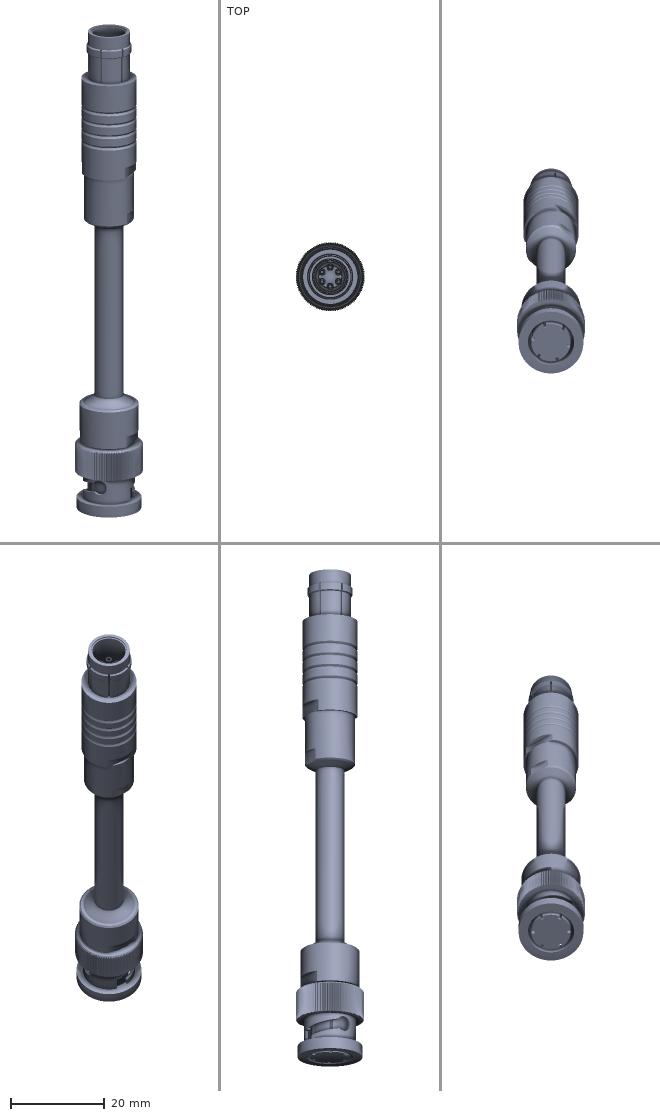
import cadquery as cq
import math

total_length = 107.7

flange_d = 13.9
flange_top = 2.5
shell_d = 11.2
shell_bore_d = 9.9
core_d = 8.4
shell_bore_top = 9.7
core_slit_width = 0.6
core_slit_depth = 0.6
knurl_d = 14.5
knurl_bottom = 8.3
knurl_top = 14.9
knurl_chamfer = 0.4
knurl_teeth = 120
knurl_depth = 0.3
neck_d = 11.1
barrel_d = 12.7
barrel_bottom = 15.3
barrel_top = 23.9
barrel_chamfer = 0.3
barrel_flats_top = 17.7
barrel_flats_width = 10.8
cone_d = 10.8
cone_top = 25.5

latch_d = 3.2
latch_z = 6.1
entry_width = 2.5
ramp_width = 2.2
entry_top = 5.4
ramp_entry_z = 4.6
ramp_latch_z = 6.2

cable_d = 6.2

collar_d = 10.8
collar_bottom = 65.4
collar_cone_bottom = 64.0
collar_chamfer = 0.3
collar_flats_top = 67.7
plug_flats_width = 9.9
nut_bottom = 75.9
nut_top = 78.4
body_d = 11.8
body_top = 97.2
groove_bottom_d = 11.2
groove_width = 0.9
groove_count = 4
groove_pitch = 2.6
lowest_groove_z = 83.1
tube_d = 8.9
latch_ring_d = 9.6
latch_ring_bottom = 103.1
latch_ring_top = 104.9
latch_ring_chamfer = 0.2

slit_count = 6
tube_slit_width = 0.4
tube_slit_depth = 0.4

socket_d = 7.1
socket_mouth_d = 7.6
socket_mouth_depth = 0.3
socket_floor = 99.1
key_width = 1.2
key_inner_y = 3.1
key_top = 105.3
insert_base_d = 6.2
insert_base_top = 100.1
insert_d = 5.0
insert_top = 100.7
contact_d = 1.3
contact_hole_d = 0.76
contact_count = 6
contact_circle_d = 4.1
contact_top = 102.3
contact_hole_depth = 2.2


def cylinder(diameter, bottom, top):
    return cq.Workplane("XY").workplane(offset=bottom).circle(diameter / 2).extrude(top - bottom)


def ring(outer_d, inner_d, bottom, top):
    return cylinder(outer_d, bottom, top).cut(cylinder(inner_d, bottom, top))


def side_flats(width, bottom, top):
    """Material outside two flats that face -X and +X."""
    size = 2 * knurl_d
    stock = cq.Workplane("XY").box(size, size, top - bottom, centered=(True, True, False))
    middle = cq.Workplane("XY").box(width, size, top - bottom, centered=(True, True, False))
    return stock.cut(middle).translate((0, 0, bottom))


def turned_body():
    """Revolved outline of everything except the knurled ring."""
    outline = [
        (0, 0),
        (flange_d / 2, 0),
        (flange_d / 2, flange_top),
        (shell_d / 2, flange_top),
        (shell_d / 2, knurl_top - knurl_chamfer),
        (neck_d / 2, knurl_top - knurl_chamfer),
        (neck_d / 2, barrel_bottom),
        (barrel_d / 2, barrel_bottom),
        (barrel_d / 2, barrel_top - barrel_chamfer),
        (barrel_d / 2 - barrel_chamfer, barrel_top),
        (cone_d / 2, barrel_top),
        (cable_d / 2, cone_top),
        (cable_d / 2, collar_cone_bottom),
        (collar_d / 2 - collar_chamfer, collar_bottom - collar_chamfer),
        (collar_d / 2, collar_bottom),
        (collar_d / 2, nut_bottom),
        (body_d / 2, nut_bottom),
        (body_d / 2, body_top),
        (tube_d / 2, body_top),
        (tube_d / 2, latch_ring_bottom - latch_ring_chamfer),
        (latch_ring_d / 2, latch_ring_bottom),
        (latch_ring_d / 2, latch_ring_top - latch_ring_chamfer),
        (tube_d / 2, latch_ring_top),
        (tube_d / 2, total_length),
        (0, total_length),
    ]
    return cq.Workplane("XZ").polyline(outline).close().revolve(360, (0, 0), (0, 1))


def knurled_ring():
    """Straight V-toothed grip, chamfered at its upper edge."""
    points = []
    for i in range(2 * knurl_teeth):
        radius = knurl_d / 2 - (i % 2) * knurl_depth
        angle = math.pi * i / knurl_teeth
        points.append((radius * math.cos(angle), radius * math.sin(angle)))
    grip = cq.Workplane("XY").workplane(offset=knurl_bottom).polyline(points).close()
    grip = grip.extrude(knurl_top - knurl_bottom)
    envelope = cylinder(knurl_d, knurl_bottom, knurl_top).faces(">Z").chamfer(knurl_chamfer)
    return grip.intersect(envelope)


def body_groove(z):
    """V groove around the push-pull body."""
    profile = [
        (groove_bottom_d / 2, z),
        (body_d / 2, z - groove_width / 2),
        (body_d / 2, z + groove_width / 2),
    ]
    return cq.Workplane("XZ").polyline(profile).close().revolve(360, (0, 0), (0, 1))


def bayonet_slot():
    """Slot entering at +X and climbing a quarter turn to the latch hole at +Y."""
    inner_r = core_d / 2
    outer_r = flange_d / 2
    depth = outer_r - inner_r
    middle_r = (inner_r + outer_r) / 2

    entry = cq.Workplane("XY").box(depth, entry_width, entry_top - flange_top, centered=(True, True, False))
    entry = entry.translate((middle_r, 0, flange_top))

    rise = ramp_latch_z - ramp_entry_z
    helix = cq.Workplane(cq.Wire.makeHelix(4 * rise, rise, middle_r))
    ramp = cq.Workplane("XZ").center(middle_r, 0).rect(depth, ramp_width).sweep(helix, isFrenet=True)
    ramp = ramp.translate((0, 0, ramp_entry_z))

    latch_hole = cq.Workplane("XZ").center(0, latch_z).circle(latch_d / 2).extrude(-depth)
    latch_hole = latch_hole.translate((0, inner_r, 0))
    return entry.union(ramp).union(latch_hole)


def slit(outer_d, width, depth, bottom, top, angle):
    """Slit along Z, cut inward from a round surface at the given angle from +X."""
    box = cq.Workplane("XY").box(depth, width, top - bottom, centered=(False, True, False))
    box = box.translate((outer_d / 2 - depth, 0, bottom))
    return box.rotate((0, 0, 0), (0, 0, 1), angle)


def socket_key():
    """Key rib on the +Y side of the socket wall."""
    wall_middle = (socket_d + tube_d) / 4
    rib = cq.Workplane("XY").box(key_width, wall_middle - key_inner_y, key_top - socket_floor,
                                 centered=(True, False, False))
    return rib.translate((0, key_inner_y, socket_floor))


def contact(angle):
    """Round contact with a blind hole in its end."""
    x = contact_circle_d / 2 * math.cos(math.radians(angle))
    y = contact_circle_d / 2 * math.sin(math.radians(angle))
    pin = cylinder(contact_d, socket_floor, contact_top)
    pin = pin.cut(cylinder(contact_hole_d, contact_top - contact_hole_depth, contact_top))
    return pin.translate((x, y, 0))


result = turned_body().union(knurled_ring())

result = result.cut(ring(shell_bore_d, core_d, 0, shell_bore_top))
for slot_angle in (0, 180):
    result = result.cut(bayonet_slot().rotate((0, 0, 0), (0, 0, 1), slot_angle))

gap_middle_d = (core_d + shell_bore_d) / 2
core_cut_depth = core_slit_depth + (gap_middle_d - core_d) / 2
for i in range(slit_count):
    angle = i * 360 / slit_count
    result = result.cut(slit(gap_middle_d, core_slit_width, core_cut_depth, 0, shell_bore_top, angle))

result = result.cut(side_flats(barrel_flats_width, knurl_top, barrel_flats_top))
result = result.cut(side_flats(plug_flats_width, collar_cone_bottom, collar_flats_top))
result = result.cut(side_flats(plug_flats_width, nut_bottom, nut_top))

for i in range(groove_count):
    result = result.cut(body_groove(lowest_groove_z + i * groove_pitch))

tube_cut_depth = tube_slit_depth + (latch_ring_d - tube_d) / 2
for i in range(slit_count):
    angle = 90 + i * 360 / slit_count
    result = result.cut(slit(latch_ring_d, tube_slit_width, tube_cut_depth, body_top, latch_ring_top, angle))

result = result.cut(cylinder(socket_d, socket_floor, total_length))
result = result.cut(cylinder(socket_mouth_d, total_length - socket_mouth_depth, total_length))
result = result.union(socket_key())
result = result.union(cylinder(insert_base_d, socket_floor, insert_base_top))
result = result.union(cylinder(insert_d, socket_floor, insert_top))
for i in range(contact_count):
    result = result.union(contact(90 + i * 360 / contact_count))